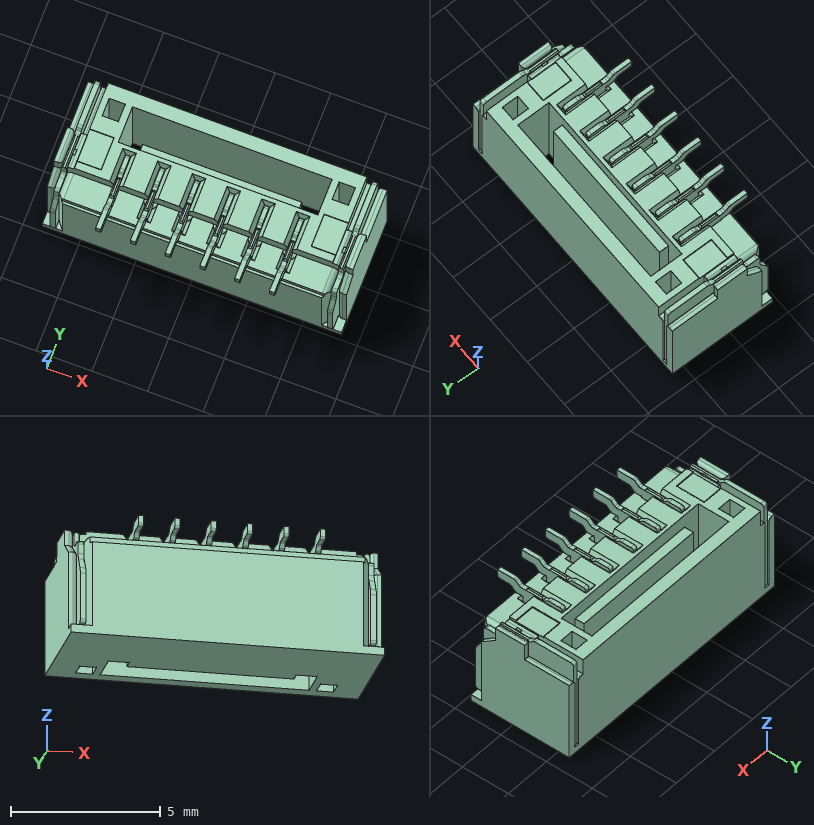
import cadquery as cq
import math


length = 10.75
depth = 4.3
body_top = 4.05
base_height = 0.29
shelf_y = 1.08
shelf_z = 3.49
upper_half = 4.64
core_half = 4.88
clip_width = 0.19
wall_inner = core_half + clip_width
shoulder_z = 3.95
notch_y = 2.35
notch_z = 3.39
shoulder_radius = 0.1
shelf_radius = core_half - upper_half
wall_radius = 0.15
corner_setback = 0.3
wall_front_y = 0.46
wall_bend_z = 3.04
rebate_depth = 0.1
rebate_height = 0.2

opening_half = 3.58
opening_front = 2.46
opening_back = 3.8
tongue_half = 2.86
tongue_depth = 0.39
square_x = 4.13
square_width = 0.58
square_depth = 0.66
panel_inner = 3.77
panel_front = 1.35
panel_back = 2.56
panel_recess = 0.04

pin_count = 6
pin_pitch = 1.25
pin_width = 0.18
pin_top = 4.12
pin_tip_y = -0.65
pin_embed_z = 3.01
pin_under_z = 3.55
pin_tail_under_z = 3.75
pin_bend_radius = 0.12
pin_tip_radius = 0.1
pin_bump_z = 4.03
pin_bump_bend_radius = 0.19
pin_back_radius = 0.11
pin_back_y = 2.17
pin_level_z = 3.91
pin_coin_z = 3.98
pin_coin_front = 0.65
pin_coin_back = 1.28

funnel_width = 0.48
funnel_depth = 0.22
funnel_back = 2.31
funnel_front = 0.35
funnel_end_run = 0.11
funnel_nose = 0.17

clip_coin_z = 3.97
clip_coin_front = 1.0
clip_coin_back = 2.21
clip_overlap = 0.11
clip_bottom = 0.35
clip_back_y = 4.24
clip_front_y = -0.05
clip_leg_top = 3.76
clip_shelf_z = 3.42
clip_inner_radius = 0.19
clip_outer_radius = 0.13
clip_slant_radius = 0.42
clip_drop_radius = 0.17
coin_chamfer = 0.05
barb_front = 1.55
barb_back = 1.75
barb_width = 0.09

bend_reach = 0.01


def box(x0, x1, y0, y1, z0, z1):
    """Box between two opposite corners."""
    return cq.Workplane("XY").box(x1 - x0, y1 - y0, z1 - z0, centered=False).translate((x0, y0, z0))


def side_profile(points, x0, x1):
    """Closed outline of (Y, Z) points extruded along X from x0 to x1."""
    return cq.Workplane("YZ", origin=(x0, 0, 0)).polyline(points).close().extrude(x1 - x0)


def front_profile(points, y0, y1):
    """Closed outline of (X, Z) points extruded along Y from y0 to y1."""
    return cq.Workplane("XZ", origin=(0, y1, 0)).polyline(points).close().extrude(y1 - y0)


def both_sides(left):
    """The left-hand solid together with its mirror image."""
    return left.union(left.mirror("YZ"))


def core_layer(y0, y1, top, radius):
    """Slab between the clips with its two upper long edges rounded."""
    slab = box(-core_half, core_half, y0, y1, 0, top)
    return slab.edges("|Y and >Z").fillet(radius)


def make_core():
    core = core_layer(0, depth, notch_z, shoulder_radius)
    core = core.union(core_layer(shelf_y, notch_y, shoulder_z, shoulder_radius))
    core = core.union(core_layer(0, shelf_y, shelf_z, shelf_radius))
    core = core.union(box(-upper_half, upper_half, shelf_y, depth, 0, body_top))
    bevel = (
        cq.Workplane("XY", origin=(0, 0, base_height))
        .polyline([(-core_half, 0), (-upper_half, 0), (-core_half, corner_setback)])
        .close()
        .extrude(body_top)
    )
    core = core.cut(both_sides(bevel))
    rebate = box(-core_half, core_half, 0, rebate_depth, shelf_z - rebate_height, shelf_z)
    return core.cut(rebate)


def make_wall():
    """Left side wall, rounded along its inner edge."""
    outline = [
        (wall_front_y, 0),
        (depth, 0),
        (depth, notch_z),
        (notch_y, notch_z),
        (notch_y, body_top),
        (shelf_y, body_top),
        (shelf_y, shelf_z),
        (wall_front_y, wall_bend_z),
    ]
    wall = side_profile(outline, -length / 2, -wall_inner)
    return wall.faces(">X").edges("not (<Z or >Y)").fillet(wall_radius)


def coined_bar(x, width, y0, y1, z0, z1):
    """Bar along Y whose two upper edges are bevelled."""
    half = width / 2
    flat = half - coin_chamfer
    outline = [
        (x - half, z0),
        (x - half, z1 - coin_chamfer),
        (x - flat, z1),
        (x + flat, z1),
        (x + half, z1 - coin_chamfer),
        (x + half, z0),
    ]
    return front_profile(outline, y0, y1)


def round_bend(solid, y, z, radius):
    """Round the X-direction edge that runs through (y, z)."""
    near = cq.selectors.BoxSelector(
        (-length, y - bend_reach, z - bend_reach),
        (length, y + bend_reach, z + bend_reach),
    )
    return solid.edges("|X").edges(near).fillet(radius)


def make_clip_leg():
    """Front leg: steps down to the shelf, turns over its edge and slants forward."""
    merge_y = clip_coin_front + clip_overlap
    inner_bend = (clip_coin_front, clip_shelf_z)
    outer_bend = (corner_setback, clip_shelf_z)
    upper_slant = (corner_setback, 2.83)
    lower_slant = (clip_front_y, 2.24)
    foot = (clip_front_y, clip_bottom)
    outline = [
        (merge_y, 0),
        (wall_front_y, 0),
        (wall_front_y, clip_bottom),
        foot,
        lower_slant,
        upper_slant,
        outer_bend,
        inner_bend,
        (clip_coin_front, clip_leg_top),
        (merge_y, clip_leg_top),
    ]
    leg = side_profile(outline, -wall_inner, -core_half)
    leg = round_bend(leg, *inner_bend, clip_inner_radius)
    leg = round_bend(leg, *outer_bend, clip_outer_radius)
    leg = round_bend(leg, *upper_slant, clip_slant_radius)
    leg = round_bend(leg, *lower_slant, clip_slant_radius)
    return round_bend(leg, *foot, clip_outer_radius)


def make_clip_back():
    """Raised back stretch that drops forward to the coined level."""
    upper_drop = (2.5, pin_top)
    lower_drop = (2.33, clip_coin_z)
    back_corner = (clip_back_y, pin_top)
    outline = [
        (clip_coin_back, 0),
        (clip_back_y, 0),
        back_corner,
        upper_drop,
        lower_drop,
        (clip_coin_back, clip_coin_z),
    ]
    back = side_profile(outline, -wall_inner, -core_half)
    back = round_bend(back, *upper_drop, clip_drop_radius)
    back = round_bend(back, *lower_drop, clip_drop_radius)
    return round_bend(back, *back_corner, clip_outer_radius)


def make_clip():
    """Left retention clip: raised back, coined middle, bent front leg and a small inner barb."""
    x_mid = -(core_half + wall_inner) / 2
    coined = coined_bar(x_mid, clip_width, clip_coin_front, clip_coin_back, 0, clip_coin_z)
    barb = box(-core_half, -core_half + barb_width, barb_front, barb_back, notch_z, shoulder_z)
    return make_clip_leg().union(make_clip_back()).union(coined).union(barb)


def make_pin_coin(x):
    """Coined ridge on a pin, sloping down to the pin at both ends."""
    slope_run = pin_coin_z - pin_level_z
    start = pin_coin_front - slope_run
    end = pin_coin_back + slope_run
    outline = [
        (start, shelf_z),
        (start, pin_level_z),
        (pin_coin_front, pin_coin_z),
        (pin_coin_back, pin_coin_z),
        (end, pin_level_z),
        (end, shelf_z),
    ]
    bar = coined_bar(x, pin_width, start, end, shelf_z, pin_coin_z)
    return bar.intersect(side_profile(outline, x - pin_width / 2, x + pin_width / 2))


def make_pin(x):
    tail_bends = [(0.12, pin_top), (0.34, pin_level_z), (0.13, pin_under_z), (-0.06, pin_tail_under_z)]
    bump_bends = [(1.42, pin_level_z), (1.58, pin_bump_z)]
    back_corner = (pin_back_y, pin_bump_z)
    tip_corner = (pin_tip_y, pin_tail_under_z)
    outline = [
        (pin_tip_y, pin_top),
        *tail_bends[:2],
        *bump_bends,
        back_corner,
        (pin_back_y, pin_embed_z),
        (wall_front_y, pin_embed_z),
        (wall_front_y, shelf_z),
        (0.42, pin_under_z),
        *tail_bends[2:],
        tip_corner,
    ]
    pin = side_profile(outline, x - pin_width / 2, x + pin_width / 2)
    for bend in tail_bends:
        pin = round_bend(pin, *bend, pin_bend_radius)
    for bend in bump_bends:
        pin = round_bend(pin, *bend, pin_bump_bend_radius)
    pin = round_bend(pin, *back_corner, pin_back_radius)
    pin = round_bend(pin, *tip_corner, pin_tip_radius)
    return pin.union(make_pin_coin(x))


def funnel_wedge(x, top):
    """Long V-sided trench narrowing to the pin width."""
    wide = funnel_width / 2
    narrow = pin_width / 2
    outline = [
        (x - wide, top),
        (x + wide, top),
        (x + narrow, top - funnel_depth),
        (x - narrow, top - funnel_depth),
    ]
    return front_profile(outline, 0, depth)


def upper_funnel(x):
    outline = [
        (0, body_top),
        (funnel_back, body_top),
        (funnel_back - funnel_end_run, body_top - funnel_depth),
        (0, body_top - funnel_depth),
    ]
    return funnel_wedge(x, body_top).intersect(side_profile(outline, x - funnel_width, x + funnel_width))


def shelf_funnel(x):
    """Funnel in the shelf; its back end is a convex nose."""
    nose_y = shelf_y - funnel_nose
    bulge = funnel_nose * math.sqrt(0.5)
    ends = (
        cq.Workplane("YZ", origin=(x - funnel_width, 0, 0))
        .moveTo(funnel_front, shelf_z)
        .lineTo(shelf_y, shelf_z)
        .threePointArc(
            (nose_y + funnel_nose - bulge, shelf_z - funnel_nose + bulge),
            (nose_y, shelf_z - funnel_nose),
        )
        .lineTo(nose_y, shelf_z - funnel_depth)
        .lineTo(funnel_front + funnel_end_run, shelf_z - funnel_depth)
        .close()
        .extrude(2 * funnel_width)
    )
    return funnel_wedge(x, shelf_z).intersect(ends)


def cut_openings(body):
    """Through openings with the tongue left standing, and shallow recessed panels."""
    body = body.cut(box(-opening_half, opening_half, opening_front, opening_back, 0, body_top))
    tongue_back = opening_front + tongue_depth
    body = body.union(box(-tongue_half, tongue_half, opening_front, tongue_back, 0, shelf_z))
    square = box(
        -square_x - square_width / 2,
        -square_x + square_width / 2,
        opening_back - square_depth,
        opening_back,
        0,
        body_top,
    )
    panel = box(-upper_half, -panel_inner, panel_front, panel_back, body_top - panel_recess, body_top)
    return body.cut(both_sides(square)).cut(both_sides(panel))


pin_positions = [(i - (pin_count - 1) / 2) * pin_pitch for i in range(pin_count)]

body = cut_openings(make_core())
for x in pin_positions:
    body = body.cut(upper_funnel(x))
for x in pin_positions[1:]:
    body = body.cut(shelf_funnel(x))

base_flange = box(-length / 2, -core_half, 0, depth, 0, base_height)
body = body.union(both_sides(base_flange))
body = body.union(both_sides(make_wall())).union(both_sides(make_clip()))
for x in pin_positions:
    body = body.union(make_pin(x))

result = body